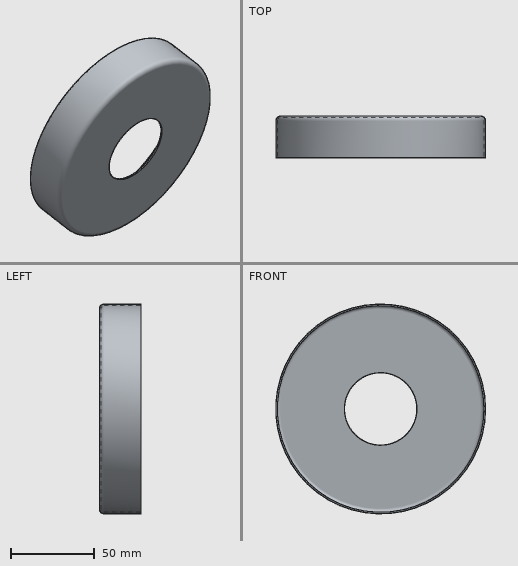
import cadquery as cq

outer_diameter = 125.0
height = 25.0
wall = 1.0
hole_diameter = 43.0
outer_corner_radius = 3.0

inner_corner_radius = outer_corner_radius - wall
inner_diameter = outer_diameter - 2 * wall
cavity_depth = height - wall


def rounded_disc(diameter, depth, corner_radius):
    """Disc from the rim plane toward +Y, centred on Y, with its far edge rounded."""
    disc = cq.Workplane("XZ").circle(diameter / 2).extrude(-depth)
    return disc.faces(">Y").edges().fillet(corner_radius)


body = rounded_disc(outer_diameter, height, outer_corner_radius)
cavity = rounded_disc(inner_diameter, cavity_depth, inner_corner_radius)

center_hole = cq.Workplane("XZ").circle(hole_diameter / 2).extrude(-height)

result = body.cut(cavity).cut(center_hole)